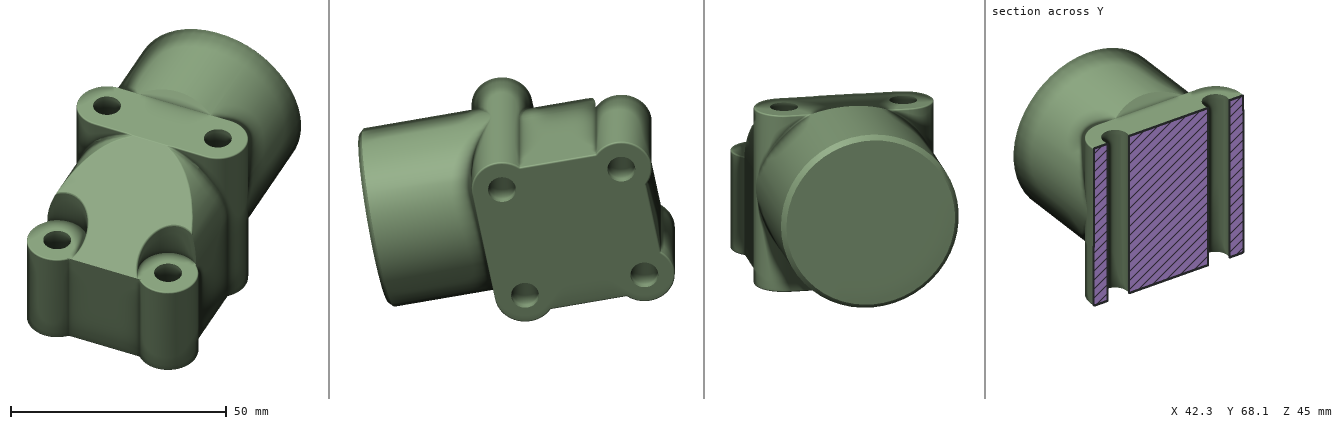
import cadquery as cq

total_length = 68.1
bolt_offset = 14.1
boss_radius = 7.05
bolt_hole_diameter = 6.5
body_half_width = 18.95
dome_axis_z = 24.3
bridge_top_z = 42.9
front_boss_top_z = 24.0
barrel_diameter = 42.0
barrel_axis_z = 24.01
barrel_end_chamfer = 1.1
relief_start_y = 23.15
top_edge_radius = 0.35
edge_radius = 0.4

body_width = 2 * body_half_width
boss_reach = bolt_offset + boss_radius
barrel_end_y = total_length - boss_reach
barrel_radius = barrel_diameter / 2
barrel_top_z = barrel_axis_z + barrel_radius
dome_top_z = dome_axis_z + body_half_width
bridge_front_y = bolt_offset - boss_radius
front_seam_top_z = front_boss_top_z - top_edge_radius
front_centres = [(-bolt_offset, -bolt_offset), (bolt_offset, -bolt_offset)]
rear_centres = [(-bolt_offset, bolt_offset), (bolt_offset, bolt_offset)]


def cylinder_along_y(radius, axis_z, start_y, end_y):
    """Cylinder lying along Y at the given axis height."""
    plane = cq.Workplane("XZ", origin=(0, start_y, axis_z))
    return plane.circle(radius).extrude(start_y - end_y)


def yz_prism(points):
    """YZ polygon extruded through the whole width of the part."""
    return cq.Workplane("YZ").polyline(points).close().extrude(boss_reach, both=True)


def square_block(height):
    """Body footprint standing on the base plane."""
    return cq.Workplane("XY").box(body_width, body_width, height, centered=(True, True, False))


def front_columns(base_z, top_z):
    """The two front boss cylinders between two levels."""
    plane = cq.Workplane("XY", origin=(0, 0, base_z))
    return plane.pushPoints(front_centres).circle(boss_radius).extrude(top_z - base_z)


def is_bridge_seam(edge):
    """True for the edges where the body walls and dome run into the bridge front."""
    box = edge.BoundingBox()
    in_seam_band = bridge_front_y - 0.1 < box.ymin and box.ymax < bolt_offset
    return in_seam_band and box.zlen > boss_radius / 2


def is_bridge_rim(edge):
    """True for the top edges of the bridge, leaving out the crown of the dome in front."""
    box = edge.BoundingBox()
    return box.ymin > bridge_front_y - 0.035 or box.ymax > bolt_offset


def is_slope_edge(edge):
    """True for the curved borders of the sloped face."""
    return edge.geomType() == "ELLIPSE"


def is_barrel_seam(edge):
    """True for the curves where the barrel meets the round bridge ends."""
    box = edge.BoundingBox()
    return edge.geomType() == "BSPLINE" and box.ymin > bolt_offset and box.ylen > boss_radius / 2


def make_bridged_body():
    """Domed square block joined to the obround rear bridge, with rounded seams and rim."""
    dome = cylinder_along_y(body_half_width, dome_axis_z, -body_half_width, body_half_width)
    tall_bridge = (
        cq.Workplane("XY").center(0, bolt_offset)
        .slot2D(2 * boss_reach, 2 * boss_radius).extrude(total_length)
    )
    body = square_block(dome_axis_z).union(dome).union(tall_bridge)
    body = body.edges().filter(is_bridge_seam).fillet(edge_radius)
    trim = (
        cq.Workplane("XY", origin=(0, 0, bridge_top_z))
        .rect(2 * total_length, 2 * total_length).extrude(total_length)
    )
    body = body.cut(trim)
    return body.faces(">Z").edges().filter(is_bridge_rim).fillet(top_edge_radius)


def cut_front_slope(body):
    """Slope the dome down to the front wall and clear pockets above the front bosses."""
    slope_cutter = yz_prism([
        (-body_half_width, front_boss_top_z),
        (bridge_front_y, bridge_top_z),
        (bridge_front_y, dome_top_z),
        (-body_half_width, dome_top_z),
    ])
    body = body.cut(slope_cutter)
    body = body.cut(front_columns(front_boss_top_z, dome_top_z))
    body = body.edges().filter(is_slope_edge).fillet(edge_radius)
    corners = (
        cq.Workplane("XY")
        .pushPoints([(-boss_reach, -boss_reach), (boss_reach, -boss_reach)])
        .rect(2 * boss_radius, 2 * boss_radius).extrude(dome_axis_z)
    )
    return body.cut(corners)


def make_front_bosses():
    """Front bosses with rounded rims and filleted corners against the body walls."""
    bosses = front_columns(0, front_boss_top_z).edges(">Z").fillet(top_edge_radius)
    foot = square_block(front_seam_top_z).union(front_columns(0, front_seam_top_z))

    def is_boss_corner(edge):
        centre = edge.Center()
        off_diagonal = abs(abs(centre.x) - abs(centre.y)) > boss_radius / 2
        return centre.y < 0 and off_diagonal

    foot = foot.edges("|Z").filter(is_boss_corner).fillet(edge_radius)
    return bosses.union(foot)


def make_barrel():
    """Round barrel with a chamfered mouth and a 45 degree relief behind the bridge."""
    barrel = cylinder_along_y(barrel_radius, barrel_axis_z, bolt_offset, barrel_end_y)
    barrel = barrel.faces(">Y").chamfer(barrel_end_chamfer)
    relief_depth = relief_start_y - bolt_offset
    relief_cutter = yz_prism([
        (relief_start_y, barrel_top_z),
        (bolt_offset, barrel_top_z),
        (bolt_offset, barrel_top_z - relief_depth),
    ])
    return barrel.cut(relief_cutter)


housing = cut_front_slope(make_bridged_body()).union(make_front_bosses())
housing = housing.faces("<Z").edges().fillet(edge_radius)
housing = housing.union(make_barrel())
housing = housing.edges().filter(is_barrel_seam).fillet(edge_radius)

bolt_holes = (
    cq.Workplane("XY").pushPoints(front_centres + rear_centres)
    .circle(bolt_hole_diameter / 2).extrude(bridge_top_z)
)
result = housing.cut(bolt_holes)